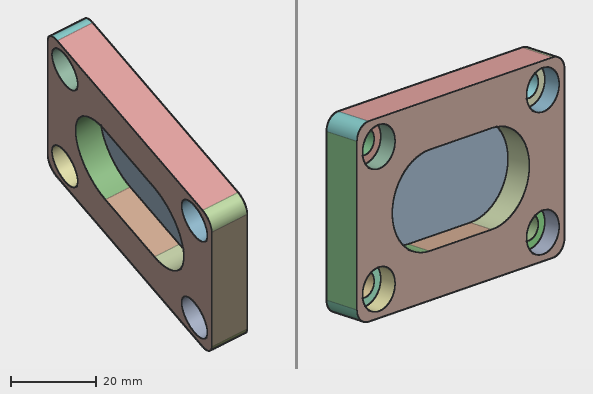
import cadquery as cq

length = 70.0
thickness = 10.0
height = 50.0
corner_radius = 4.0

hole_spacing_x = 55.3
hole_spacing_z = 35.5
hole_diameter = 6.6
counterbore_diameter = 11.0
counterbore_depth = 4.7

pocket_length = 46.2
pocket_height = 25.3
pocket_depth = 7.0

plate = (
    cq.Workplane("XZ")
    .rect(length, height)
    .extrude(thickness / 2, both=True)
    .edges("|Y")
    .fillet(corner_radius)
)

front = cq.Workplane("XZ", origin=(0, -thickness / 2, 0))

pocket = front.slot2D(pocket_length, pocket_height).extrude(-pocket_depth)

hole_centres = front.rect(hole_spacing_x, hole_spacing_z, forConstruction=True).vertices()
through_holes = hole_centres.circle(hole_diameter / 2).extrude(-thickness)
counterbores = hole_centres.circle(counterbore_diameter / 2).extrude(-counterbore_depth)

result = plate.cut(pocket).cut(through_holes).cut(counterbores)